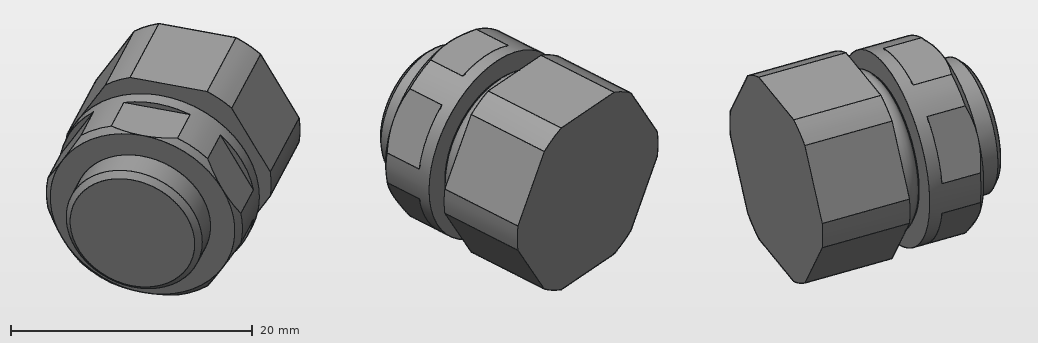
import cadquery as cq
import math

BODY_LENGTH = 8.0
BODY_DIAMETER = 17.8
BODY_ACROSS_FLATS = 16.5

SEAL_GAP = 2.0
SEAL_DIAMETER = 14.2
SEAL_CORD_DIAMETER = 2.0
NECK_DIAMETER = 13.0

NUT_LENGTH = 5.2
NUT_DIAMETER = 17.0
NUT_ACROSS_FLATS = 16.0
COLLAR_LENGTH = 1.2

STUB_LENGTH = 2.8
STUB_DIAMETER = 11.8
CHAMFER = 0.5

TOTAL_LENGTH = BODY_LENGTH + SEAL_GAP + NUT_LENGTH + STUB_LENGTH
BODY_BACK = TOTAL_LENGTH / 2
BODY_FRONT = BODY_BACK - BODY_LENGTH
NUT_BACK = BODY_FRONT - SEAL_GAP
NUT_FRONT = NUT_BACK - NUT_LENGTH


def cylinder(y_start, length, diameter):
    """Cylinder about the Y axis, running from y_start toward -Y."""
    plane = cq.Workplane("XZ", origin=(0, y_start, 0))
    return plane.circle(diameter / 2).extrude(length)


def hexagon(y_start, length, across_flats):
    """Hexagonal prism along Y with corners on the X axis, running toward -Y."""
    plane = cq.Workplane("XZ", origin=(0, y_start, 0))
    across_corners = across_flats / math.cos(math.pi / 6)
    return plane.polygon(6, across_corners).extrude(length)


def make_body():
    """Hexagonal body with its corners rounded by a cylinder."""
    blank = cylinder(BODY_BACK, BODY_LENGTH, BODY_DIAMETER)
    return blank.intersect(hexagon(BODY_BACK, BODY_LENGTH, BODY_ACROSS_FLATS))


def make_neck_with_seal():
    """Plain neck joining the body to the nut, with the O-ring standing out around it."""
    neck_radius = NECK_DIAMETER / 2
    seal_radius = SEAL_DIAMETER / 2
    cord_radius = SEAL_CORD_DIAMETER / 2
    cord_centre_radius = seal_radius - cord_radius
    seal_middle = BODY_FRONT - SEAL_GAP / 2
    seal_half_width = math.sqrt(cord_radius**2 - (neck_radius - cord_centre_radius) ** 2)
    profile = (
        cq.Workplane("XY")
        .moveTo(0, BODY_FRONT)
        .lineTo(neck_radius, BODY_FRONT)
        .lineTo(neck_radius, seal_middle + seal_half_width)
        .threePointArc((seal_radius, seal_middle), (neck_radius, seal_middle - seal_half_width))
        .lineTo(neck_radius, NUT_BACK)
        .lineTo(0, NUT_BACK)
        .close()
    )
    return profile.revolve(360, (0, 0, 0), (0, 1, 0))


def make_nut():
    """Chamfered nut whose six flats stop at a round collar."""
    flats_length = NUT_LENGTH - COLLAR_LENGTH
    flats_back = NUT_BACK - COLLAR_LENGTH
    blank = cylinder(NUT_BACK, NUT_LENGTH, NUT_DIAMETER).faces("<Y").chamfer(CHAMFER)
    collar = cylinder(NUT_BACK, COLLAR_LENGTH, NUT_DIAMETER)
    envelope = collar.union(hexagon(flats_back, flats_length, NUT_ACROSS_FLATS))
    return blank.intersect(envelope)


def make_stub():
    """Round stub with a chamfered end."""
    return cylinder(NUT_FRONT, STUB_LENGTH, STUB_DIAMETER).faces("<Y").chamfer(CHAMFER)


result = make_body().union(make_neck_with_seal()).union(make_nut()).union(make_stub())